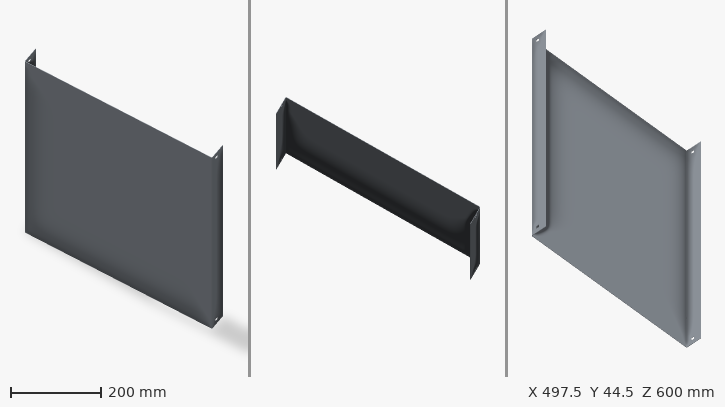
import cadquery as cq

width = 497.5
depth = 44.5
height = 600.0

sheet = 1.0
outer_bend_radius = 2.05
inner_bend_radius = outer_bend_radius - sheet

hole_length = 9.0
hole_height = 7.0
hole_from_end = 15.5
hole_from_face = 19.0


def folded_panel():
    """Front face at Y = 0 with a flange folded back along each side."""
    outer = (
        cq.Workplane("XY")
        .rect(width, depth)
        .extrude(height)
        .translate((0, depth / 2, 0))
        .edges("|Z and <Y")
        .fillet(outer_bend_radius)
    )
    inner = (
        cq.Workplane("XY")
        .rect(width - 2 * sheet, depth)
        .extrude(height)
        .translate((0, depth / 2 + sheet, 0))
        .edges("|Z and <Y")
        .fillet(inner_bend_radius)
    )
    return outer.cut(inner)


def flange_holes(z):
    """Rectangular cutter passing through both flanges at height z."""
    return cq.Workplane("XY").box(2 * width, hole_length, hole_height).translate((0, hole_from_face, z))


result = folded_panel()
for hole_z in (hole_from_end, height - hole_from_end):
    result = result.cut(flange_holes(hole_z))